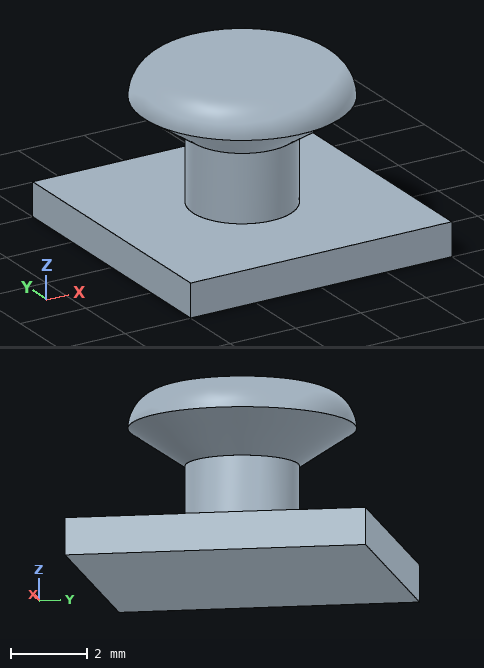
import cadquery as cq

plate_side = 8.0
plate_thickness = 1.0
stem_diameter = 3.0
stem_height = 2.0
head_diameter = 6.0
cone_height = 1.0
rim_radius = 1.0

stem_radius = stem_diameter / 2
head_radius = head_diameter / 2
flat_radius = head_radius - rim_radius
stem_top = plate_thickness + stem_height
cone_top = stem_top + cone_height
head_top = cone_top + rim_radius


def make_plate():
    """Square base plate centred on the Z axis."""
    return cq.Workplane("XY").box(
        plate_side, plate_side, plate_thickness, centered=(True, True, False)
    )


def make_knob():
    """Turned knob: straight stem, flared underside and quarter-round rim."""
    half_profile = (
        cq.Workplane("XZ")
        .moveTo(0, plate_thickness)
        .lineTo(stem_radius, plate_thickness)
        .lineTo(stem_radius, stem_top)
        .lineTo(head_radius, cone_top)
        .radiusArc((flat_radius, head_top), -rim_radius)
        .lineTo(0, head_top)
        .close()
    )
    return half_profile.revolve(360, (0, 0, 0), (0, 1, 0))


result = make_plate().union(make_knob())